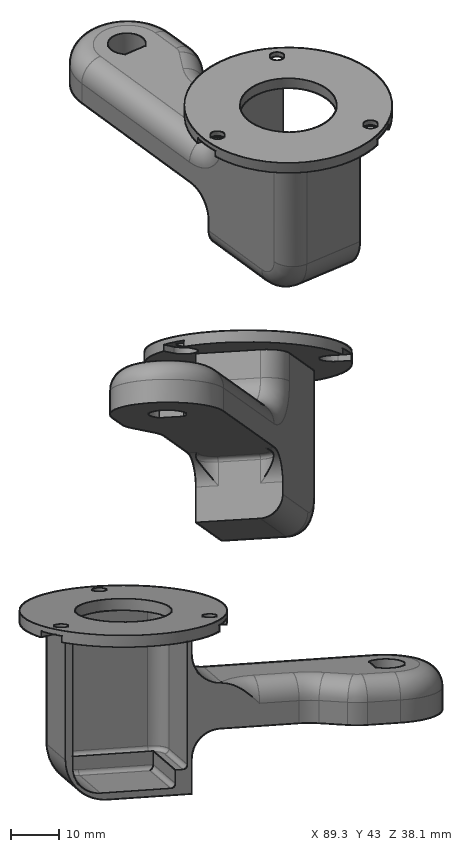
import cadquery as cq
import math


overall_length = 89.3
total_height = 38.1

flange_diameter = 43.0
flange_thickness = 2.5
flange_bore_diameter = 20.0
screw_circle_radius = 18.4
screw_hole_diameter = 3.0
nut_slot_width = 6.0
nut_slot_depth = 1.3
screw_angles = (30, 150, 270)

housing_left = -12.6
housing_right = 14.6
housing_front = -11.2
housing_back = 7.6
housing_corner_radius = 9.0
edge_radius = 4.8

arm_reach = overall_length - flange_diameter / 2
arm_width = 23.9
arm_bottom = 13.5
arm_top = 23.2
arm_upper_blend = 6.5
arm_lower_blend = 6.0
neck_start = -35.55
neck_bend_radius = 7.95
neck_angle = math.radians(30)
flare_start = -27.1
flare_radius = 5.2

shaft_radius = 3.9
shaft_shift = -0.3
shaft_flat_offset = 2.95

rib_wall = 1.0
rib_blend = 3.8
small_blend = 1.0

front_wall = 1.0
left_wall = 1.0
right_wall = 1.5
floor_thickness = 1.5
cavity_corner_radius = 6.0
cavity_plan_radius = 3.6
ledge_height = 5.4
well_left_wall = 3.6
well_front_wall = 1.9

flange_bottom = total_height - flange_thickness
arm_radius = arm_width / 2
arm_tip_x = arm_radius - arm_reach
arm_tip_y = housing_front + arm_radius
arm_back = housing_front + arm_width
blend_start = housing_left - arm_upper_blend
arm_root = 0


def make_flange():
    """Round plate with a bore, screw holes and nut slots that open through the rim."""
    flange = (
        cq.Workplane("XY", origin=(0, 0, flange_bottom))
        .circle(flange_diameter / 2)
        .circle(flange_bore_diameter / 2)
        .extrude(flange_thickness)
    )
    slot_length = flange_diameter / 2
    slot = (
        cq.Workplane("XY", origin=(0, 0, flange_bottom))
        .center(screw_circle_radius + slot_length / 2, 0)
        .slot2D(slot_length + nut_slot_width, nut_slot_width)
        .extrude(nut_slot_depth)
    )
    screw_hole = (
        cq.Workplane("XY", origin=(screw_circle_radius, 0, flange_bottom))
        .circle(screw_hole_diameter / 2)
        .extrude(flange_thickness)
    )
    screw_cut = slot.union(screw_hole)
    for angle in screw_angles:
        flange = flange.cut(screw_cut.rotate((0, 0, 0), (0, 0, 1), angle))
    return flange


def make_housing():
    """Side profile with blends into the arm, rounded along its front outline."""
    depth = housing_back - housing_front
    profile = (
        cq.Workplane("XZ", origin=(0, housing_back, 0))
        .moveTo(housing_left, 0)
        .lineTo(housing_right - housing_corner_radius, 0)
        .radiusArc((housing_right, housing_corner_radius), -housing_corner_radius)
        .lineTo(housing_right, flange_bottom)
        .lineTo(housing_left, flange_bottom)
        .lineTo(housing_left, arm_top + arm_upper_blend)
        .radiusArc((blend_start, arm_top), arm_upper_blend)
        .lineTo(blend_start, arm_bottom)
        .lineTo(housing_left - arm_lower_blend, arm_bottom)
        .radiusArc((housing_left, arm_bottom - arm_lower_blend), arm_lower_blend)
        .close()
    )
    housing = profile.extrude(depth)
    margin = 0.1
    upper_edges = cq.selectors.BoxSelector(
        (blend_start - margin, housing_front - margin, arm_top - margin),
        (housing_left + margin, housing_front + margin, flange_bottom - margin),
    )
    outer_edges = cq.selectors.BoxSelector(
        (housing_left + margin, housing_front - margin, -margin),
        (housing_right + margin, housing_front + margin, flange_bottom - margin),
    )
    return housing.edges(upper_edges + outer_edges).fillet(edge_radius)


def make_arm():
    """Flat arm with a round tip, an S-bend in its back edge and a rounded top outline."""
    neck_rise = arm_back - housing_back
    bend_dx = neck_bend_radius * math.sin(neck_angle)
    bend_dy = neck_bend_radius * (1 - math.cos(neck_angle))
    slope_dx = (neck_rise - 2 * bend_dy) / math.tan(neck_angle)
    flare_end = flare_start + flare_radius
    flare_top = arm_back + edge_radius
    bend_start = neck_start - 2 * bend_dx - slope_dx

    arm = (
        cq.Workplane("XY", origin=(0, 0, arm_bottom))
        .moveTo(arm_root, housing_front)
        .lineTo(arm_tip_x, housing_front)
        .threePointArc((-arm_reach, arm_tip_y), (arm_tip_x, arm_back))
        .lineTo(bend_start, arm_back)
        .radiusArc((bend_start + bend_dx, arm_back - bend_dy), neck_bend_radius)
        .lineTo(neck_start - bend_dx, housing_back + bend_dy)
        .radiusArc((neck_start, housing_back), -neck_bend_radius)
        .lineTo(flare_start, housing_back)
        .radiusArc((flare_end, housing_back + flare_radius), -flare_radius)
        .lineTo(flare_end, flare_top)
        .lineTo(arm_root, flare_top)
        .close()
        .extrude(arm_top - arm_bottom)
        .faces(">Z")
        .edges()
        .fillet(edge_radius)
    )
    flare_trim = (
        cq.Workplane("XY", origin=(flare_start, housing_back, arm_bottom))
        .rect(arm_root - flare_start, flare_top - housing_back, centered=False)
        .extrude(arm_top - arm_bottom)
    )
    return arm.cut(flare_trim)


def make_shaft_hole():
    """D-shaped through hole, just outside the centre of the arm tip."""
    flat_half = math.sqrt(shaft_radius**2 - shaft_flat_offset**2)
    return (
        cq.Workplane("XY", origin=(arm_tip_x + shaft_shift, arm_tip_y, arm_bottom))
        .moveTo(shaft_flat_offset, flat_half)
        .threePointArc((-shaft_radius, 0), (shaft_flat_offset, -flat_half))
        .close()
        .extrude(arm_top - arm_bottom)
    )


def make_rib_pocket():
    """Pocket that reduces the lower blend to a thin rib on either side of the arm."""
    pocket = (
        cq.Workplane("XY", origin=(blend_start, housing_front + rib_wall, 0))
        .rect(housing_left - blend_start, housing_back - housing_front - 2 * rib_wall, centered=False)
        .extrude(arm_bottom)
    )
    pocket = pocket.edges("|Z and >X").fillet(rib_blend)
    return pocket.faces(">Z").edges(">X").fillet(small_blend)


def make_room(left, front, bottom, top):
    """Box inside the housing that reaches the right inner wall and the open back."""
    inner_right = housing_right - right_wall
    return (
        cq.Workplane("XY", origin=(left, front, bottom))
        .rect(inner_right - left, housing_back - front, centered=False)
        .extrude(top - bottom)
    )


def make_cavity():
    """Stepped hollow: a wide upper room with a ledge and a narrower well below it."""
    upper_left = housing_left + left_wall
    upper_front = housing_front + front_wall
    well_left = housing_left + well_left_wall
    well_front = housing_front + well_front_wall

    envelope = (
        make_room(upper_left, upper_front, floor_thickness, flange_bottom)
        .edges("|Y and >X and <Z")
        .fillet(cavity_corner_radius)
    )
    upper = (
        make_room(upper_left, upper_front, ledge_height, flange_bottom)
        .edges("|Z and <Y")
        .fillet(cavity_plan_radius)
        .faces("<Z")
        .edges("<Y")
        .fillet(small_blend)
        .intersect(envelope)
    )
    well_top = ledge_height + small_blend
    well = (
        make_room(well_left, well_front, floor_thickness, flange_bottom)
        .edges("|Y and >X and <Z")
        .fillet(cavity_corner_radius)
        .faces("<Z")
        .edges("<X or <Y")
        .fillet(small_blend)
        .cut(make_room(well_left, well_front, well_top, flange_bottom))
    )
    return upper.union(well)


result = make_housing().union(make_arm()).union(make_flange())
for cutter in (make_cavity(), make_rib_pocket(), make_shaft_hole()):
    result = result.cut(cutter)